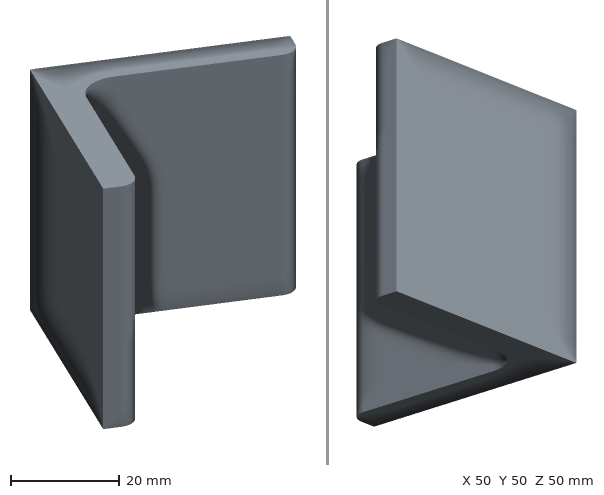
import cadquery as cq

leg_length = 50.0
leg_thickness = 7.0
height = 50.0
root_radius = leg_thickness
toe_radius = leg_thickness / 2

angle = (
    cq.Workplane("XY")
    .polyline([
        (0, 0),
        (leg_length, 0),
        (leg_length, leg_thickness),
        (leg_thickness, leg_thickness),
        (leg_thickness, leg_length),
        (0, leg_length),
    ])
    .close()
    .extrude(height)
)


def round_vertical_edge(body, x, y, radius):
    """Round the vertical edge that passes through (x, y)."""
    edge = cq.selectors.NearestToPointSelector((x, y, height / 2))
    return body.edges("|Z").edges(edge).fillet(radius)


angle = round_vertical_edge(angle, leg_thickness, leg_thickness, root_radius)
angle = round_vertical_edge(angle, leg_length, leg_thickness, toe_radius)
angle = round_vertical_edge(angle, leg_thickness, leg_length, toe_radius)

result = angle